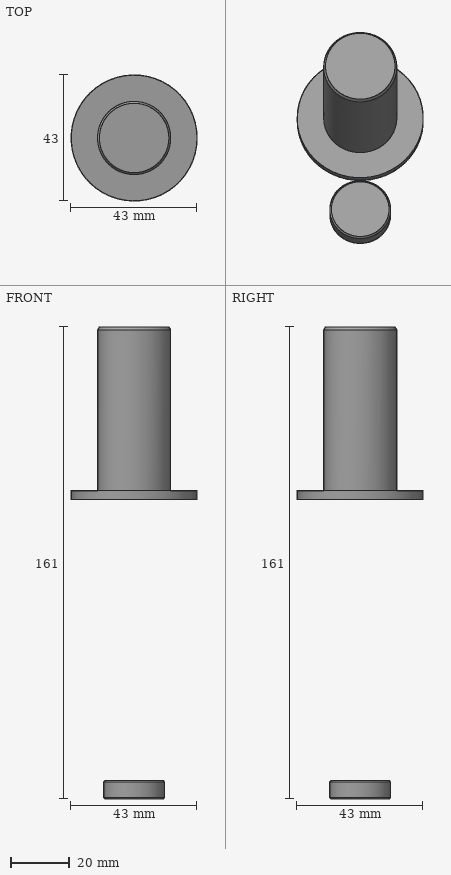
import cadquery as cq

total_height = 161.0

flange_diameter = 43.0
flange_thickness = 3.0
shank_diameter = 25.0
pin_height = 59.0
shank_chamfer_height = 1.1
shank_chamfer_inset = 0.6

disc_diameter = 20.8
disc_thickness = 6.5
disc_chamfer = 0.56

pin_bottom = total_height - pin_height


def make_flanged_pin():
    """Round pin with a thin flange at its foot and a steep chamfer around its top."""
    flange = cq.Workplane("XY").circle(flange_diameter / 2).extrude(flange_thickness)
    shank_radius = shank_diameter / 2
    shank_profile = [
        (0, 0),
        (shank_radius, 0),
        (shank_radius, pin_height - shank_chamfer_height),
        (shank_radius - shank_chamfer_inset, pin_height),
        (0, pin_height),
    ]
    shank = cq.Workplane("XZ").polyline(shank_profile).close().revolve(360, (0, 0, 0), (0, 1, 0))
    return flange.union(shank).translate((0, 0, pin_bottom))


def make_disc():
    """Short disc, chamfered on both rims, standing well below the pin."""
    disc = cq.Workplane("XY").circle(disc_diameter / 2).extrude(disc_thickness)
    return disc.faces("<Z or >Z").chamfer(disc_chamfer)


flanged_pin = make_flanged_pin()
disc = make_disc()

result = cq.Compound.makeCompound([flanged_pin.val(), disc.val()])